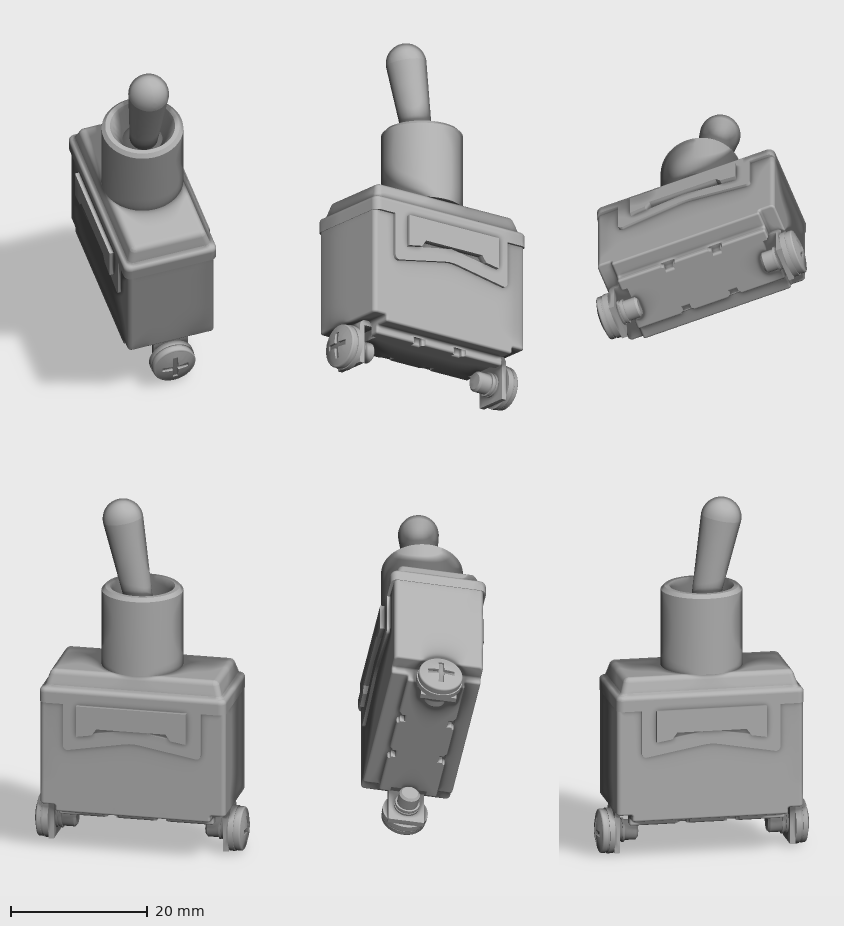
import cadquery as cq
import math

HEIGHT = 53.0
SELECT_MARGIN = 0.05

CASE_X = 27.85
CASE_Y = 13.25
CASE_BOTTOM = 7.2
CASE_CORNER_R = 0.65
STEP_X = 23.2
STEP_BOTTOM = 6.2
RIB_Y = 8.5
RIB_BOTTOM = 5.0
UNDERSIDE_R = 0.3

GROOVE_X = 3.7
GROOVE_WIDTH = 1.4
GROOVE_DEPTH = 1.0
GROOVE_MOUTH_R = 0.4
SLOT_MOUTH_R = 0.25

CAP_X = 28.0
CAP_Y = 14.2
CAP_BOTTOM = 23.1
CAP_LEDGE = 25.35
CAP_TOP = 27.85
CAP_CORNER_R = 1.0
HOOD_CORNER_R = 0.85
CAP_TOP_R = 0.95
LEDGE_WIDTH = 0.7
LEDGE_EDGE_R = 0.65
LEDGE_INNER_R = 0.65
CAP_DRAFT = 17.0

LOOP_WIDTH = 20.7
LOOP_LOW = 15.9
LOOP_MID = 17.75
LOOP_CORNER_R = 0.65
LOOP_APEX_R = 6.35
CATCH_WIDTH = 16.5
CATCH_Y = 15.5
CATCH_LOW = 18.4
CATCH_MID = 19.75
RELIEF_BOTTOM_WIDTH = 12.4
RELIEF_TOP_WIDTH = 10.4

BUSHING_D = 12.0
BUSHING_TOP = 39.85
BUSHING_CHAMFER = 0.55
MOUTH_D = 9.55
MOUTH_FLOOR_D = 5.4
MOUTH_DEPTH = 3.2

LEVER_TILT = 10.9
LEVER_TIP_D = 6.0
LEVER_NECK_D = 4.1
LEVER_REACH = 15.5
NECK_REACH = 2.65
PIVOT_BALL_R = 3.65

STRIP_WIDTH = 5.3
STRIP_THICKNESS = 0.8
STRIP_OUTER_X = 13.5
STRIP_END_X = 9.55
STRIP_BOTTOM = 0.55
STRIP_BEND_R = 1.0
WASHER_D = 6.75
WASHER_THICKNESS = 0.8
LOCK_WASHER_D = 6.4
LOCK_WASHER_THICKNESS = 0.3
HEAD_D = 6.5
HEAD_EDGE_R = 0.25
HEAD_STRAIGHT = 0.5
HEAD_TIP_X = 15.9
CROSS_LENGTH = 4.0
CROSS_WIDTH = 0.8
CROSS_DEPTH = 0.55
COLLAR_D = 3.6
COLLAR_GROOVE_D = 3.35
COLLAR_LAND = 0.3
SHANK_D = 3.1
SHANK_TIP_X = 9.7
SHANK_CHAMFER = 0.3


def box_between(size_x, size_y, bottom, top):
    """Box centred on the Z axis between two heights."""
    return cq.Workplane("XY").workplane(offset=bottom).rect(size_x, size_y).extrude(top - bottom)


def both_sides(solid, plane):
    """The solid together with its mirror image."""
    return solid.union(solid.mirror(plane))


def groove(width, mouth_r, depth, bottom, top):
    """Cutter for a groove open towards -Y at Y = 0, with rounded mouth edges."""
    half = width / 2
    return (
        cq.Workplane("XY").workplane(offset=bottom)
        .moveTo(-half - mouth_r, 0)
        .radiusArc((-half, mouth_r), mouth_r)
        .lineTo(-half, depth)
        .lineTo(half, depth)
        .lineTo(half, mouth_r)
        .radiusArc((half + mouth_r, 0), mouth_r)
        .close()
        .extrude(top - bottom)
    )


def make_case():
    """Case narrowing downwards to a step and a rib, with all lower edges rounded."""
    upper = box_between(CASE_X, CASE_Y, CASE_BOTTOM, CAP_BOTTOM)
    upper = upper.edges("|Z").fillet(CASE_CORNER_R)
    step = box_between(STEP_X, CASE_Y, STEP_BOTTOM, CAP_BOTTOM)
    rib = box_between(STEP_X, RIB_Y, RIB_BOTTOM, CAP_BOTTOM)
    case = upper.union(step).union(rib).clean()
    low_edges = cq.selectors.BoxSelector(
        (-CASE_X, -CASE_Y, 0), (CASE_X, CASE_Y, CASE_BOTTOM + SELECT_MARGIN), boundingbox=False
    )
    case = case.edges(low_edges).fillet(UNDERSIDE_R)
    cutter = groove(GROOVE_WIDTH, GROOVE_MOUTH_R, GROOVE_DEPTH, 0, STEP_BOTTOM)
    for x in (-GROOVE_X, GROOVE_X):
        front = cutter.translate((x, -RIB_Y / 2, 0))
        case = case.cut(both_sides(front, "XZ"))
        for side in (-1, 1):
            floor_y = side * (RIB_Y / 2 - GROOVE_DEPTH)
            for z in (RIB_BOTTOM, STEP_BOTTOM):
                floor_edge = cq.selectors.NearestToPointSelector((x, floor_y, z))
                case = case.edges(floor_edge).fillet(UNDERSIDE_R)
    slot = groove(STRIP_WIDTH, SLOT_MOUTH_R, GROOVE_DEPTH, 0, CASE_BOTTOM)
    slot = slot.rotate((0, 0, 0), (0, 0, 1), -90).translate((-STEP_X / 2, 0, 0))
    return case.cut(both_sides(slot, "YZ"))


def make_cap():
    """Cap with a rounded ledge, its inner corner blended into the hood."""
    skirt = box_between(CAP_X, CAP_Y, CAP_BOTTOM, CAP_LEDGE).edges("|Z").fillet(CAP_CORNER_R)
    skirt = skirt.faces(">Z").edges().fillet(LEDGE_EDGE_R)
    hood = (
        cq.Workplane("XY").workplane(offset=CAP_LEDGE)
        .rect(CAP_X - 2 * LEDGE_WIDTH, CAP_Y - 2 * LEDGE_WIDTH)
        .extrude(CAP_TOP - CAP_LEDGE, taper=CAP_DRAFT)
    )
    hood = hood.edges("not(|X or |Y)").fillet(HOOD_CORNER_R)
    hood = hood.faces(">Z").edges().fillet(CAP_TOP_R)
    cap = skirt.union(hood)
    inner_corner = cq.selectors.BoxSelector(
        (-CAP_X / 2 + LEDGE_EDGE_R, -CAP_Y / 2 + LEDGE_EDGE_R, CAP_LEDGE - SELECT_MARGIN),
        (CAP_X / 2 - LEDGE_EDGE_R, CAP_Y / 2 - LEDGE_EDGE_R, CAP_LEDGE + SELECT_MARGIN),
        boundingbox=True,
    )
    return cap.edges(inner_corner).fillet(LEDGE_INNER_R)


def vee_plate(width, low, mid, face_y):
    """Plate from the mid plane out to -face_y, its lower edge rising towards the middle."""
    half = width / 2
    return (
        cq.Workplane("XZ")
        .polyline([(-half, CAP_BOTTOM), (-half, low), (0, mid), (half, low), (half, CAP_BOTTOM)])
        .close()
        .extrude(face_y)
    )


def make_latch():
    """Latch loop and catch on the -Y side."""
    loop = vee_plate(LOOP_WIDTH, LOOP_LOW, LOOP_MID, CAP_Y / 2)
    loop = loop.edges("|Y").edges("<Z").fillet(LOOP_CORNER_R)
    apex = cq.selectors.NearestToPointSelector((0, -CAP_Y / 4, LOOP_MID))
    loop = loop.edges(apex).fillet(LOOP_APEX_R)
    window = vee_plate(CATCH_WIDTH, CATCH_LOW, CATCH_MID, CAP_Y / 2)
    window = window.cut(box_between(CASE_X, CASE_Y, 0, HEIGHT))
    relief = (
        cq.Workplane("XZ")
        .polyline([
            (-RELIEF_BOTTOM_WIDTH / 2, CATCH_LOW),
            (-RELIEF_TOP_WIDTH / 2, CATCH_MID),
            (RELIEF_TOP_WIDTH / 2, CATCH_MID),
            (RELIEF_BOTTOM_WIDTH / 2, CATCH_LOW),
        ])
        .close()
        .extrude(CATCH_Y / 2)
    )
    catch = vee_plate(CATCH_WIDTH, CATCH_LOW, CATCH_MID, CATCH_Y / 2).cut(relief)
    return loop.cut(window).union(catch)


def make_bushing():
    """Round bushing on the cap with a conical mouth for the lever."""
    bushing = (
        cq.Workplane("XY").workplane(offset=CAP_TOP)
        .circle(BUSHING_D / 2).extrude(BUSHING_TOP - CAP_TOP)
    )
    bushing = bushing.faces(">Z").edges().chamfer(BUSHING_CHAMFER)
    mouth = (
        cq.Workplane("XY").workplane(offset=BUSHING_TOP).circle(MOUTH_D / 2)
        .workplane(offset=-MOUTH_DEPTH).circle(MOUTH_FLOOR_D / 2).loft()
    )
    return bushing.cut(mouth)


def make_lever():
    """Pivot ball and conical handle with a round tip, tilted towards +X."""
    pivot_z = HEIGHT - LEVER_TIP_D / 2 - LEVER_REACH * math.cos(math.radians(LEVER_TILT))
    handle = (
        cq.Workplane("XZ")
        .lineTo(LEVER_NECK_D / 2, 0)
        .lineTo(LEVER_NECK_D / 2, NECK_REACH)
        .lineTo(LEVER_TIP_D / 2, LEVER_REACH)
        .radiusArc((0, LEVER_REACH + LEVER_TIP_D / 2), -LEVER_TIP_D / 2)
        .close()
        .revolve(360, (0, 0, 0), (0, 1, 0))
    )
    lever = handle.union(cq.Workplane("XY").sphere(PIVOT_BALL_R))
    return lever.rotate((0, 0, 0), (0, 1, 0), LEVER_TILT).translate((0, 0, pivot_z))


def make_strip():
    """Bent terminal strip on the -X side."""
    inner_x = STRIP_OUTER_X - STRIP_THICKNESS
    under = CASE_BOTTOM - STRIP_THICKNESS
    return (
        cq.Workplane("XZ").workplane(offset=-STRIP_WIDTH / 2)
        .moveTo(-STRIP_END_X, CASE_BOTTOM)
        .lineTo(-STRIP_OUTER_X + STRIP_BEND_R, CASE_BOTTOM)
        .radiusArc((-STRIP_OUTER_X, CASE_BOTTOM - STRIP_BEND_R), -STRIP_BEND_R)
        .lineTo(-STRIP_OUTER_X, STRIP_BOTTOM)
        .lineTo(-inner_x, STRIP_BOTTOM)
        .lineTo(-inner_x, under)
        .lineTo(-STRIP_END_X, under)
        .close()
        .extrude(STRIP_WIDTH)
    )


def make_screw():
    """Screw on the -X side with a cross-slotted domed head, washers and a grooved collar."""
    washer_x = STRIP_OUTER_X + WASHER_THICKNESS
    head_x = washer_x + LOCK_WASHER_THICKNESS
    edge_x = head_x + HEAD_STRAIGHT
    dome_r = HEAD_D / 2 - HEAD_EDGE_R
    collar_x = STRIP_OUTER_X - STRIP_THICKNESS
    screw = (
        cq.Workplane("XY")
        .moveTo(-SHANK_TIP_X, 0)
        .lineTo(-SHANK_TIP_X, SHANK_D / 2 - SHANK_CHAMFER)
        .lineTo(-SHANK_TIP_X - SHANK_CHAMFER, SHANK_D / 2)
        .lineTo(-collar_x + 3 * COLLAR_LAND, SHANK_D / 2)
        .lineTo(-collar_x + 3 * COLLAR_LAND, COLLAR_D / 2)
        .lineTo(-collar_x + 2 * COLLAR_LAND, COLLAR_D / 2)
        .lineTo(-collar_x + 2 * COLLAR_LAND, COLLAR_GROOVE_D / 2)
        .lineTo(-collar_x + COLLAR_LAND, COLLAR_GROOVE_D / 2)
        .lineTo(-collar_x + COLLAR_LAND, COLLAR_D / 2)
        .lineTo(-STRIP_OUTER_X, COLLAR_D / 2)
        .lineTo(-STRIP_OUTER_X, WASHER_D / 2)
        .lineTo(-washer_x, WASHER_D / 2)
        .lineTo(-washer_x, LOCK_WASHER_D / 2)
        .lineTo(-head_x, LOCK_WASHER_D / 2)
        .lineTo(-head_x, HEAD_D / 2)
        .lineTo(-edge_x, HEAD_D / 2)
        .radiusArc((-edge_x - HEAD_EDGE_R, dome_r), -HEAD_EDGE_R)
    )
    dome_height = HEAD_TIP_X - edge_x - HEAD_EDGE_R
    screw = (
        screw.radiusArc((-HEAD_TIP_X, 0), -(dome_r ** 2 + dome_height ** 2) / (2 * dome_height))
        .close()
        .revolve(360, (0, 0, 0), (1, 0, 0))
    )
    cross = (
        cq.Workplane("YZ").workplane(offset=-HEAD_TIP_X)
        .rect(CROSS_LENGTH, CROSS_WIDTH).extrude(CROSS_DEPTH)
        .union(
            cq.Workplane("YZ").workplane(offset=-HEAD_TIP_X)
            .rect(CROSS_WIDTH, CROSS_LENGTH).extrude(CROSS_DEPTH)
        )
    )
    return screw.cut(cross).translate((0, 0, WASHER_D / 2))


terminal = make_strip().union(make_screw())
result = (
    make_case()
    .union(make_cap())
    .union(both_sides(make_latch(), "XZ"))
    .union(make_bushing())
    .union(make_lever())
    .union(both_sides(terminal, "YZ"))
)